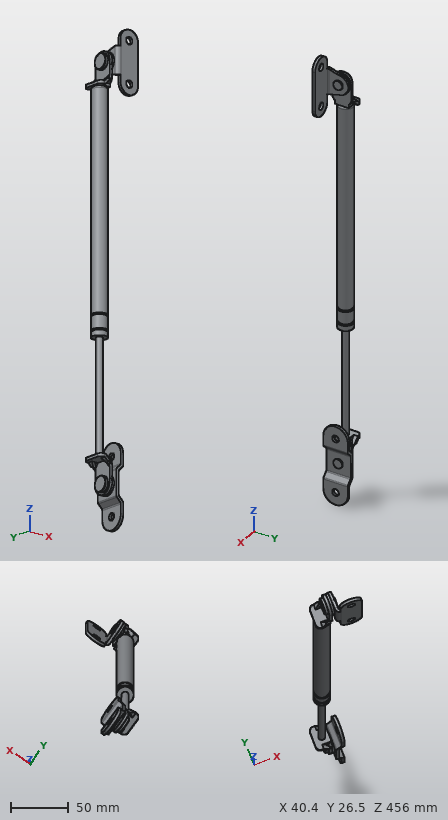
import cadquery as cq
import math

OVERALL_LENGTH = 456.0
OVERALL_DEPTH = 26.5
SHEET = 2.95
BEND_SHIFT = SHEET * (math.sqrt(2) - 1)

SCREW_HOLE_RADIUS = 3.4
LOWER_PLATE_WIDTH = 25.0
LOWER_PLATE_LENGTH = 80.0
LOWER_PLATE_STEP = 5.0
LOWER_BEND_HEIGHT = 14.5
LOWER_BEND_RADIUS = 2.0
UPPER_PLATE_WIDTH = 20.0
UPPER_PLATE_LENGTH = 59.7
UPPER_PLATE_FRONT_Y = LOWER_PLATE_WIDTH / 2 - OVERALL_DEPTH
LUG_BASE_WIDTH = 26.5
LUG_RADIUS = 10.0
LUG_BEND_RADIUS = 3.5

EYE_X = 3.4
WASHER_THICKNESS = 2.5
HEAD_THICKNESS = 2.95
TAIL_LENGTH = 1.5
HEAD_RADIUS = 15.0 / 2
HEAD_CHAMFER = 0.5
RIVET_RADIUS = 4.5
WASHER_RADIUS = 9.5
WASHER_X = EYE_X + SHEET
PLATE_X = WASHER_X + WASHER_THICKNESS
RIVET_END_X = PLATE_X + SHEET + TAIL_LENGTH

LOWER_PIVOT_Z = LOWER_PLATE_LENGTH / 2
UPPER_PIVOT_Z = OVERALL_LENGTH - UPPER_PLATE_LENGTH / 2

EYE_RADIUS = 9.5
FLANGE_HALF_WIDTH = 22.5 / 2
FLANGE_EDGE_X = -8.0
FLANGE_CORNER_RADIUS = 4.0
FLANGE_FACE = 24.0
FLANGE_INSIDE = FLANGE_FACE - SHEET
SHOULDER_HEIGHT = 16.5
DART_HALF_WIDTH = 12.5 / 2
DART_TAPER = 2.7
DART_HEIGHT = 4.0
DART_WALL = 1.0
SLOPE_RISE = 7.0

TUBE_RADIUS = 15.0 / 2
TUBE_TOP_FILLET = 2.05
TUBE_BOTTOM_Z = 173.5
TUBE_TOP_Z = UPPER_PIVOT_Z - FLANGE_FACE
ROD_RADIUS = 3.0
ROD_BOTTOM_Z = LOWER_PIVOT_Z + FLANGE_FACE
GROOVE_HEIGHTS = (179.0, 193.5)
GROOVE_WIDTH = 1.5
GROOVE_DEPTH = 0.7


def disc(radius, start_x, end_x, z=0.0):
    """Cylinder along X."""
    return cq.Workplane("YZ", origin=(start_x, 0, z)).circle(radius).extrude(end_x - start_x)


def side_slab(points, near_y, far_y):
    """Outline in X and Z, extruded along Y."""
    return cq.Workplane("XZ", origin=(0, far_y, 0)).polyline(points).close().extrude(far_y - near_y)


def make_tube():
    tube_length = TUBE_TOP_Z - TUBE_BOTTOM_Z
    tube = cq.Workplane("XY", origin=(0, 0, TUBE_BOTTOM_Z)).circle(TUBE_RADIUS).extrude(tube_length)
    tube = tube.faces(">Z").edges().fillet(TUBE_TOP_FILLET)
    for height in GROOVE_HEIGHTS:
        groove = (
            cq.Workplane("XY", origin=(0, 0, height - GROOVE_WIDTH / 2))
            .circle(TUBE_RADIUS)
            .circle(TUBE_RADIUS - GROOVE_DEPTH)
            .extrude(GROOVE_WIDTH)
        )
        tube = tube.cut(groove)
    return tube


def make_rod():
    rod_length = TUBE_BOTTOM_Z - ROD_BOTTOM_Z
    return cq.Workplane("XY", origin=(0, 0, ROD_BOTTOM_Z)).circle(ROD_RADIUS).extrude(rod_length)


def make_rivet():
    """Headed rivet with the pivot at Z = 0."""
    head = disc(HEAD_RADIUS, EYE_X - HEAD_THICKNESS, EYE_X)
    head = head.faces("<X").chamfer(HEAD_CHAMFER)
    return head.union(disc(RIVET_RADIUS, EYE_X, RIVET_END_X))


def make_washer():
    """Spacer ring with the pivot at Z = 0."""
    return disc(WASHER_RADIUS, WASHER_X, PLATE_X).cut(disc(RIVET_RADIUS, WASHER_X, PLATE_X))


def dart_prism(half_width):
    """Tapered block for one surface of the dart, as deep as the bracket."""
    foot_half_width = half_width + DART_TAPER
    outline = [
        (-foot_half_width, 0),
        (-foot_half_width, FLANGE_INSIDE - DART_HEIGHT),
        (-half_width, FLANGE_INSIDE),
        (-half_width, FLANGE_FACE),
        (half_width, FLANGE_FACE),
        (half_width, FLANGE_INSIDE),
        (foot_half_width, FLANGE_INSIDE - DART_HEIGHT),
        (foot_half_width, 0),
    ]
    prism = cq.Workplane("YZ", origin=(FLANGE_EDGE_X, 0, 0)).polyline(outline).close()
    return prism.extrude(WASHER_X - FLANGE_EDGE_X)


def make_bracket():
    """Angle bracket with the pivot at Z = 0 and the flange above it.

    The sheet slopes at 45 degrees between eye and flange. A dart pushed out of the
    slope turns its middle into a square corner.
    """
    slope_foot = (EYE_X, FLANGE_INSIDE - SLOPE_RISE)
    slope_head = (EYE_X - SLOPE_RISE, FLANGE_INSIDE)
    outer_slope_foot = (WASHER_X, FLANGE_INSIDE - SLOPE_RISE + BEND_SHIFT)
    outer_slope_head = (EYE_X - SLOPE_RISE + BEND_SHIFT, FLANGE_FACE)
    profile = [
        (EYE_X, -EYE_RADIUS),
        slope_foot,
        slope_head,
        (FLANGE_EDGE_X, FLANGE_INSIDE),
        (FLANGE_EDGE_X, FLANGE_FACE),
        outer_slope_head,
        outer_slope_foot,
        (WASHER_X, -EYE_RADIUS),
    ]
    outer_corner = [slope_foot, slope_head, outer_slope_head, (WASHER_X, FLANGE_FACE), outer_slope_foot]
    inner_corner = [slope_foot, slope_head, (EYE_X, FLANGE_INSIDE)]

    def full_width(points):
        return side_slab(points, -FLANGE_HALF_WIDTH, FLANGE_HALF_WIDTH)

    bracket = full_width(profile)
    bracket = bracket.union(full_width(outer_corner).intersect(dart_prism(DART_HALF_WIDTH + DART_WALL)))
    bracket = bracket.cut(full_width(inner_corner).intersect(dart_prism(DART_HALF_WIDTH)))

    shoulder_radius = FLANGE_HALF_WIDTH - EYE_RADIUS
    outline = (
        cq.Workplane("YZ", origin=(FLANGE_EDGE_X, 0, 0))
        .moveTo(-EYE_RADIUS, 0)
        .threePointArc((0, -EYE_RADIUS), (EYE_RADIUS, 0))
        .lineTo(EYE_RADIUS, SHOULDER_HEIGHT)
        .radiusArc((FLANGE_HALF_WIDTH, SHOULDER_HEIGHT + shoulder_radius), shoulder_radius)
        .lineTo(FLANGE_HALF_WIDTH, FLANGE_FACE)
        .lineTo(-FLANGE_HALF_WIDTH, FLANGE_FACE)
        .lineTo(-FLANGE_HALF_WIDTH, SHOULDER_HEIGHT + shoulder_radius)
        .radiusArc((-EYE_RADIUS, SHOULDER_HEIGHT), shoulder_radius)
        .close()
        .extrude(WASHER_X - FLANGE_EDGE_X)
    )
    bracket = bracket.intersect(outline)
    bracket = bracket.faces("<X").edges("|Z").fillet(FLANGE_CORNER_RADIUS)
    return bracket.cut(disc(RIVET_RADIUS, EYE_X, WASHER_X))


def make_lower_plate():
    """Upright plate whose middle steps towards the eye, with the pivot at Z = 0."""
    end_x = PLATE_X + LOWER_PLATE_STEP
    half_length = LOWER_PLATE_LENGTH / 2
    half_width = LOWER_PLATE_WIDTH / 2
    near_face_bend = LOWER_BEND_HEIGHT - LOWER_PLATE_STEP / 2 + BEND_SHIFT / 2
    far_face_bend = near_face_bend - BEND_SHIFT
    profile = [
        (end_x, -half_length),
        (end_x, -near_face_bend - LOWER_PLATE_STEP),
        (PLATE_X, -near_face_bend),
        (PLATE_X, near_face_bend),
        (end_x, near_face_bend + LOWER_PLATE_STEP),
        (end_x, half_length),
        (end_x + SHEET, half_length),
        (end_x + SHEET, far_face_bend + LOWER_PLATE_STEP),
        (PLATE_X + SHEET, far_face_bend),
        (PLATE_X + SHEET, -far_face_bend),
        (end_x + SHEET, -far_face_bend - LOWER_PLATE_STEP),
        (end_x + SHEET, -half_length),
    ]
    plate = side_slab(profile, -half_width, half_width)
    plate = plate.edges("|Y and (not (<Z or >Z))").fillet(LOWER_BEND_RADIUS)
    outline = (
        cq.Workplane("YZ", origin=(PLATE_X, 0, 0))
        .slot2D(LOWER_PLATE_LENGTH, LOWER_PLATE_WIDTH, 90)
        .extrude(LOWER_PLATE_STEP + SHEET)
    )
    plate = plate.intersect(outline)
    for side in (-1, 1):
        hole_z = side * (half_length - half_width)
        plate = plate.cut(disc(SCREW_HOLE_RADIUS, end_x, end_x + SHEET, hole_z))
    return plate.cut(disc(RIVET_RADIUS, PLATE_X, PLATE_X + SHEET))


def make_upper_plate():
    """Round-ended plate facing -Y with a bent lug that carries the pivot at Z = 0."""
    plate_left_x = PLATE_X + LUG_BEND_RADIUS
    plate_center_x = plate_left_x + UPPER_PLATE_WIDTH / 2
    back_y = UPPER_PLATE_FRONT_Y + SHEET
    half_base = LUG_BASE_WIDTH / 2
    hole_spacing = UPPER_PLATE_LENGTH - UPPER_PLATE_WIDTH

    plate = (
        cq.Workplane("XZ", origin=(plate_center_x, back_y, 0))
        .slot2D(UPPER_PLATE_LENGTH, UPPER_PLATE_WIDTH, 90)
        .extrude(SHEET)
        .faces("<Y")
        .workplane(origin=(plate_center_x, 0, 0))
        .pushPoints([(0, -hole_spacing / 2), (0, hole_spacing / 2)])
        .hole(2 * SCREW_HOLE_RADIUS)
    )
    bend_center_y = UPPER_PLATE_FRONT_Y + LUG_BEND_RADIUS
    angle = (
        cq.Workplane("XY", origin=(0, 0, -half_base))
        .moveTo(PLATE_X, LUG_RADIUS)
        .lineTo(PLATE_X, bend_center_y)
        .radiusArc((plate_left_x, UPPER_PLATE_FRONT_Y), -LUG_BEND_RADIUS)
        .lineTo(plate_center_x, UPPER_PLATE_FRONT_Y)
        .lineTo(plate_center_x, back_y)
        .lineTo(plate_left_x, back_y)
        .radiusArc((PLATE_X + SHEET, bend_center_y), LUG_BEND_RADIUS - SHEET)
        .lineTo(PLATE_X + SHEET, LUG_RADIUS)
        .close()
        .extrude(LUG_BASE_WIDTH)
    )
    taper = (
        cq.Workplane("YZ", origin=(PLATE_X, 0, 0))
        .moveTo(UPPER_PLATE_FRONT_Y, -half_base)
        .lineTo(back_y, -half_base)
        .lineTo(0, -LUG_RADIUS)
        .threePointArc((LUG_RADIUS, 0), (0, LUG_RADIUS))
        .lineTo(back_y, half_base)
        .lineTo(UPPER_PLATE_FRONT_Y, half_base)
        .close()
        .extrude(plate_center_x - PLATE_X)
    )
    plate = plate.union(angle.intersect(taper))
    return plate.cut(disc(RIVET_RADIUS, PLATE_X, PLATE_X + SHEET))


def at_height(body, z):
    return body.translate((0, 0, z))


tube = make_tube()
rod = make_rod()
lower_bracket = at_height(make_bracket(), LOWER_PIVOT_Z)
upper_bracket = at_height(make_bracket().mirror("XY"), UPPER_PIVOT_Z)
lower_plate = at_height(make_lower_plate(), LOWER_PIVOT_Z)
upper_plate = at_height(make_upper_plate(), UPPER_PIVOT_Z)
PIVOT_HEIGHTS = (LOWER_PIVOT_Z, UPPER_PIVOT_Z)
rivets = [at_height(make_rivet(), z) for z in PIVOT_HEIGHTS]
washers = [at_height(make_washer(), z) for z in PIVOT_HEIGHTS]

bodies = [tube, rod, lower_bracket, upper_bracket, lower_plate, upper_plate, *rivets, *washers]
result = cq.Compound.makeCompound([body.val() for body in bodies])